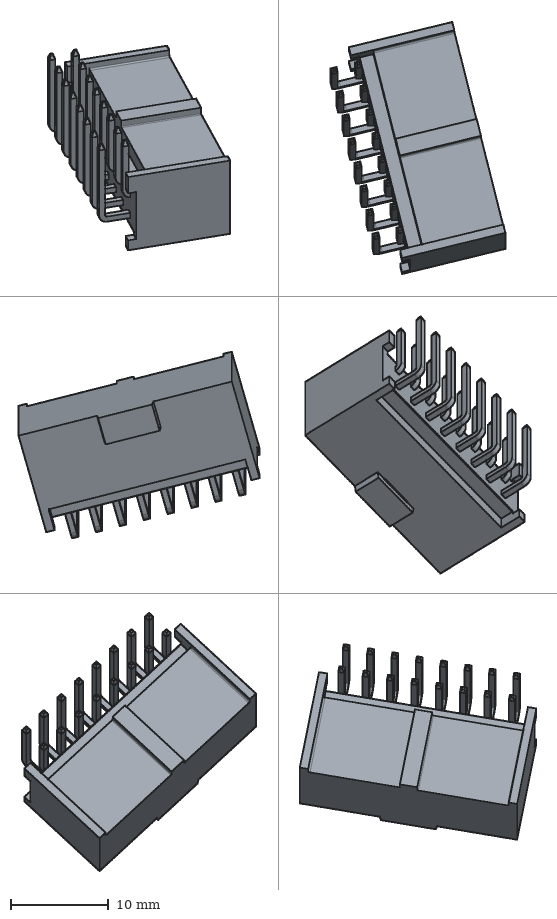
import cadquery as cq
import math


length = 22.65
end_wall_height = 8.95
end_wall_depth = 10.92
end_wall_thickness = 0.88
inner_length = length - 2 * end_wall_thickness
top_height = 8.18
step_depth = 8.57
pin_face_depth = 10.05
pin_face_bottom = 1.52
pin_face_top = 6.55
notch_bottom = 1.22
notch_top = 6.95
edge_chamfer = 0.07
end_wall_fillet = 0.15

rib_width = 1.81
rib_fillet = 0.1

key_root_width = 6.0
key_tip_width = 5.7
key_height = 0.8
key_depth = 2.97
key_bevel_width = 3.9
key_bevel = 0.07

pin_count = 8
pitch = 2.54
pin_size = 0.63
pin_tip_height = 11.85
outer_pin_front = 13.4
outer_pin_bottom = 2.47
bend_outer_radius = 0.88
bend_inner_radius = bend_outer_radius - pin_size
point_height = 0.52
point_flat = 0.25
pin_embed = 0.45


def block(width, depth, bottom, top):
    """Box centred on X that runs forward from the back face."""
    return (
        cq.Workplane("XY", origin=(0, -depth / 2, bottom))
        .box(width, depth, top - bottom, centered=(True, True, False))
    )


def make_core():
    """Housing between the end walls, with the pin face standing proud."""
    core = block(inner_length, step_depth, 0, top_height)
    pin_face = block(inner_length, pin_face_depth, pin_face_bottom, pin_face_top)
    return core.union(pin_face.faces("<Y").edges("|X").chamfer(edge_chamfer))


def make_end_wall(side):
    """End wall with a relief in its front edge; side is -1 or +1."""
    profile = [
        (0, 0),
        (-end_wall_depth, 0),
        (-end_wall_depth, notch_bottom),
        (-pin_face_depth, notch_bottom),
        (-pin_face_depth, notch_top),
        (-end_wall_depth, notch_top),
        (-end_wall_depth, end_wall_height),
        (0, end_wall_height),
    ]
    inner_face = side * inner_length / 2
    return (
        cq.Workplane("YZ", origin=(inner_face, 0, 0))
        .polyline(profile)
        .close()
        .extrude(side * end_wall_thickness)
    )


def make_root_fillet(x, direction, radius):
    """Concave strip on the top face, from a wall at x out along direction (-1 or +1)."""
    arc_offset = radius * (1 - math.sqrt(0.5))
    return (
        cq.Workplane("XZ", origin=(x, 0, top_height))
        .lineTo(direction * radius, 0)
        .threePointArc((direction * arc_offset, arc_offset), (0, radius))
        .close()
        .extrude(step_depth)
    )


def make_key():
    """Tapered key with a small bevel along the middle of its front root."""
    key = (
        cq.Workplane("XZ")
        .polyline([
            (-key_root_width / 2, 0),
            (key_root_width / 2, 0),
            (key_tip_width / 2, -key_height),
            (-key_tip_width / 2, -key_height),
        ])
        .close()
        .extrude(key_depth)
    )
    bevel = (
        cq.Workplane("YZ", origin=(0, -key_depth, 0))
        .polyline([(0, 0), (-key_bevel, 0), (0, -key_bevel)])
        .close()
        .extrude(key_bevel_width / 2, both=True)
    )
    return key.union(bevel)


def make_pin(x, front, bottom):
    """Square pin that leaves the housing forward, bends up and ends in a blunt point."""
    shoulder = pin_tip_height - point_height
    root = -pin_face_depth + pin_embed
    bend_y = -front + bend_outer_radius
    bend_z = bottom + bend_outer_radius
    outer_mid = bend_outer_radius * math.sqrt(0.5)
    inner_mid = bend_inner_radius * math.sqrt(0.5)
    shank = (
        cq.Workplane("YZ", origin=(x, 0, 0))
        .moveTo(root, bottom)
        .lineTo(bend_y, bottom)
        .threePointArc((bend_y - outer_mid, bend_z - outer_mid), (-front, bend_z))
        .lineTo(-front, shoulder)
        .lineTo(-front + pin_size, shoulder)
        .lineTo(-front + pin_size, bend_z)
        .threePointArc((bend_y - inner_mid, bend_z - inner_mid), (bend_y, bottom + pin_size))
        .lineTo(root, bottom + pin_size)
        .close()
        .extrude(pin_size / 2, both=True)
    )
    point = (
        cq.Workplane("XY", origin=(x, -front + pin_size / 2, shoulder))
        .rect(pin_size, pin_size)
        .workplane(offset=point_height)
        .rect(point_flat, point_flat)
        .loft()
    )
    return shank.union(point)


result = make_core().union(make_key())
result = result.union(block(rib_width, step_depth, top_height, end_wall_height))

for side in (-1, 1):
    result = result.union(make_end_wall(side))
    result = result.union(make_root_fillet(side * inner_length / 2, -side, end_wall_fillet))
    result = result.union(make_root_fillet(side * rib_width / 2, side, rib_fillet))

for row in range(2):
    for column in range(pin_count):
        pin_x = (column - (pin_count - 1) / 2) * pitch
        pin_front = outer_pin_front - row * pitch
        pin_bottom = outer_pin_bottom + row * pitch
        result = result.union(make_pin(pin_x, pin_front, pin_bottom))